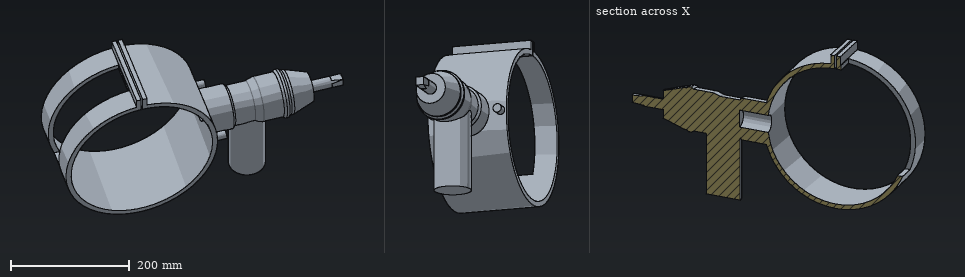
import cadquery as cq


ring_width = 140.0
ring_outer_radius = 134.0
wall = 9.0
ring_inner_radius = ring_outer_radius - wall

flange_top = 149.5
flange_thickness = 7.5
split_gap = 3.0
flange_span = split_gap + 2 * flange_thickness

window_width = 60.0
window_bottom = -51.0
window_end_y = -10.0

barrel_radius = 39.0
neck_radius = 35.0
bead_radius = 42.0
nose_radius = 26.0
collar_end = 172.5
neck_start = 176.5
neck_end = 211.5
body_start = 225.5
bead_start = 261.0
bead_edge = 4.5
bead_end = bead_start + 3 * bead_edge
nose_start = 279.5
nose_end = 318.0

spindle_radius = 10.0
spindle_tip = 509 - ring_outer_radius
flats_length = 20.5
flats_start = spindle_tip - flats_length
tip_across_flats = 14.0
base_across_flats = 18.0

branch_radius = 31.5
branch_y = 207.0
branch_bottom = -151.0

pin_radius = 7.4
pin_spacing = 119.5
pin_end = 151.0

bore_radius = 15.5
bore_end = 176.5


def y_cylinder(radius, start, end, x=0):
    """Solid cylinder parallel to Y between two Y positions."""
    return cq.Workplane("XZ", origin=(x, start, 0)).circle(radius).extrude(start - end)


def make_ring():
    disc = cq.Workplane("YZ").circle(ring_outer_radius).extrude(ring_width / 2, both=True)
    flanges = cq.Workplane("XY").box(
        ring_width, flange_span, flange_top, centered=(True, True, False)
    )
    opening = cq.Workplane("YZ").circle(ring_inner_radius).extrude(ring_width / 2, both=True)
    split = cq.Workplane("XY").box(ring_width, split_gap, flange_top, centered=(True, True, False))
    window_depth = ring_outer_radius + window_end_y
    window_height = ring_outer_radius - window_bottom
    window_origin = (0, window_end_y - window_depth / 2, window_bottom)
    window = cq.Workplane("XY", origin=window_origin).box(
        window_width, window_depth, window_height, centered=(True, True, False)
    )
    return disc.union(flanges).cut(opening).cut(split).cut(window)


def make_head():
    profile = [
        (0, 0),
        (barrel_radius, 0),
        (barrel_radius, collar_end),
        (neck_radius, neck_start),
        (neck_radius, neck_end),
        (barrel_radius, body_start),
        (barrel_radius, bead_start),
        (bead_radius, bead_start + bead_edge),
        (bead_radius, bead_end - bead_edge),
        (barrel_radius, bead_end),
        (barrel_radius, nose_start),
        (nose_radius, nose_end),
        (0, nose_end),
    ]
    return cq.Workplane("XY").polyline(profile).close().revolve(360, (0, 0, 0), (0, 1, 0))


def make_spindle():
    """Round rod with a square end that narrows towards the tip."""
    shank = y_cylinder(spindle_radius, nose_end, flats_start)
    round_end = y_cylinder(spindle_radius, flats_start, spindle_tip)
    tapered_square = (
        cq.Workplane("XZ", origin=(0, flats_start, 0))
        .rect(base_across_flats, base_across_flats)
        .workplane(offset=-flats_length)
        .rect(tip_across_flats, tip_across_flats)
        .loft()
    )
    return shank.union(round_end.intersect(tapered_square))


def make_branch():
    return cq.Workplane("XY", origin=(0, branch_y, branch_bottom)).circle(branch_radius).extrude(-branch_bottom)


attachments = make_head().union(make_spindle()).union(make_branch())
for side in (-1, 1):
    attachments = attachments.union(y_cylinder(pin_radius, 0, pin_end, side * pin_spacing / 2))
trim_radius = ring_outer_radius - wall / 2
ring_interior = cq.Workplane("YZ").circle(trim_radius).extrude(ring_width / 2, both=True)
attachments = attachments.cut(ring_interior)

bore = y_cylinder(bore_radius, 0, bore_end)
result = make_ring().union(attachments).cut(bore)